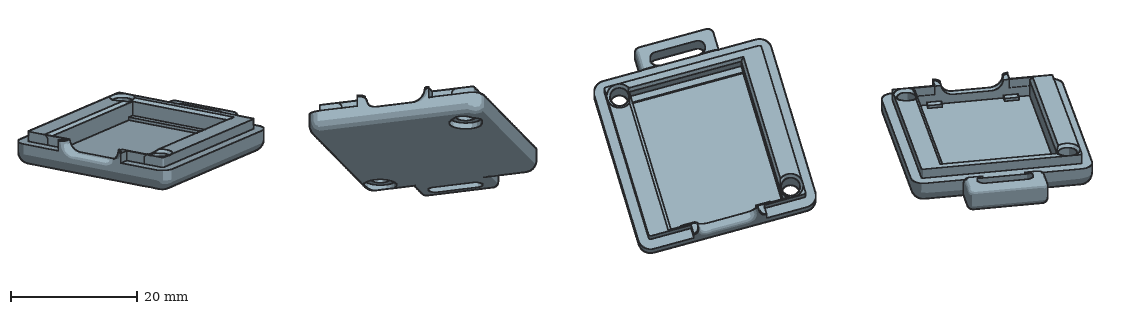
import cadquery as cq

body_side = 29.15
body_half = body_side / 2
body_radius = 2.0
base_height = 3.68

step_inset = 1.65
step_side = body_side - 2 * step_inset
step_height = 5.3
step_radius = 0.33

pocket_half_x = 9.22
pocket_back = 11.3
pocket_front = -12.75
floor_height = 2.0
ledge_height = 2.5
ledge_depth = 1.05
mouth_bevel = 0.5
tab_width = 2.32
tab_offset = 6.17

hole_offset = 10.95
hole_diameter = 3.0
countersink_diameter = 3.98
countersink_depth = 0.5
head_diameter = 5.2
head_depth = 1.0

notch_bottom = 3.5
notch_flat_half = 3.02
notch_radius = 2.0
notch_half = notch_flat_half + notch_radius
notch_round = 1.0
notch_block_half = notch_half + notch_round
notch_block_base = 2.32
lip_top = notch_bottom + notch_radius
lip_thickness = 0.1

total_length = 33.17
loop_width = 13.0
loop_height = 4.0
loop_round = 1.0
loop_end = total_length - body_half
loop_root = body_half - body_radius
slot_width = 2.25
slot_length = 9.0

above = 6.65


def box(x_range, y_range, z_range):
    """Axis-aligned box between pairs of limits."""
    sizes = [high - low for low, high in (x_range, y_range, z_range)]
    corner = (x_range[0], y_range[0], z_range[0])
    return cq.Workplane("XY").box(*sizes, centered=False).translate(corner)


def make_body():
    """Base with a rounded underside, carrying the raised step."""
    base = (
        cq.Workplane("XY")
        .rect(body_side, body_side)
        .extrude(base_height)
        .edges("|Z")
        .fillet(body_radius)
        .faces("<Z")
        .edges()
        .fillet(body_radius - 0.003)
    )
    step = (
        cq.Workplane("XY")
        .workplane(offset=floor_height)
        .rect(step_side, step_side)
        .extrude(step_height - floor_height)
        .edges("|Z")
        .fillet(step_radius)
    )
    return base.union(step)


def make_loop():
    """Strap loop with rounded outer edges and a through slot."""
    half = loop_width / 2
    loop = box((-half, half), (loop_root, loop_end), (0, loop_height))
    loop = loop.edges("|Z and >Y").fillet(loop_round)
    loop = loop.faces("<Z or >Z").edges("not <Y").fillet(loop_round - 0.003)
    slot = (
        cq.Workplane("XY")
        .center(0, body_half + slot_width / 2)
        .slot2D(slot_length, slot_width)
        .extrude(loop_height)
    )
    above_base = box((-half, half), (loop_root, body_half), (base_height, loop_height))
    return loop.cut(slot).cut(above_base)


def make_pocket():
    """Pocket volume with bevelled back and sides, less the ledge and tabs on its floor."""
    sides = (-pocket_half_x, pocket_half_x)
    pocket = box(sides, (pocket_front, pocket_back), (floor_height, step_height))
    width = 2 * pocket_half_x
    length = pocket_back - pocket_front
    bevel = (
        cq.Workplane("XY")
        .workplane(offset=step_height - mouth_bevel)
        .center(0, pocket_front + length / 2)
        .rect(width, length)
        .workplane(offset=mouth_bevel)
        .rect(width + 2 * mouth_bevel, length + 2 * mouth_bevel)
        .loft(ruled=True)
    )
    behind_front_wall = box((-body_half, body_half), (pocket_front, body_half), (0, above))
    pocket = pocket.union(bevel.intersect(behind_front_wall))
    ledge_z = (floor_height, ledge_height)
    pocket = pocket.cut(box(sides, (pocket_back - ledge_depth, pocket_back), ledge_z))
    for x in (-tab_offset, tab_offset):
        tab_x = (x - tab_width / 2, x + tab_width / 2)
        pocket = pocket.cut(box(tab_x, (pocket_front, pocket_front + ledge_depth), ledge_z))
    return pocket


def make_hole(x, y):
    """Through hole with a top countersink and a screw-head recess underneath."""
    bore = cq.Workplane("XY").circle(hole_diameter / 2).extrude(above)
    head = cq.Workplane("XY").circle(head_diameter / 2).extrude(head_depth)
    sink = (
        cq.Workplane("XY")
        .workplane(offset=step_height - countersink_depth)
        .circle(hole_diameter / 2)
        .workplane(offset=countersink_depth)
        .circle(countersink_diameter / 2)
        .loft()
    )
    return bore.union(head).union(sink).translate((x, y, 0))


def make_notch_block():
    """Front wall section with a U notch whose front edge is rounded over."""
    wall_y = (-body_half, pocket_front)
    wall = box((-body_half, body_half), wall_y, (0, above))
    notch = (
        cq.Workplane("XZ", origin=(0, pocket_front, 0))
        .moveTo(-notch_half, above)
        .lineTo(-notch_half, lip_top)
        .radiusArc((-notch_flat_half, notch_bottom), -notch_radius)
        .lineTo(notch_flat_half, notch_bottom)
        .radiusArc((notch_half, lip_top), -notch_radius)
        .lineTo(notch_half, above)
        .close()
        .extrude(pocket_front + body_half)
    )
    wall = wall.cut(notch)
    notch_front = cq.selectors.BoxSelector(
        (-notch_half - 0.33, -body_half - 0.33, notch_bottom - 0.33),
        (notch_half + 0.33, -body_half + 0.33, above - 0.33),
    )
    wall = wall.edges(notch_front).fillet(notch_round)
    block_x = (-notch_block_half, notch_block_half)
    return wall.intersect(box(block_x, wall_y, (notch_block_base, step_height)))


def make_lip(side):
    """Thin curved lip that carries the notch rounding above the wall top."""
    x = side * notch_block_half
    y = -body_half + notch_round
    ring = (
        cq.Workplane("XY")
        .workplane(offset=notch_bottom)
        .center(x, y)
        .circle(notch_round)
        .circle(notch_round - lip_thickness)
        .extrude(lip_top - notch_bottom)
    )
    x_range = sorted((x, x - side * notch_round))
    return ring.intersect(box(x_range, (-body_half, y), (step_height - lip_thickness, lip_top)))


result = make_body().union(make_loop()).cut(make_pocket())
for sign in (-1, 1):
    result = result.cut(make_hole(sign * hole_offset, -sign * hole_offset))

front_gap = box(
    (-notch_block_half, notch_block_half), (-body_half, pocket_front), (notch_block_base, above)
)
result = result.cut(front_gap).union(make_notch_block())
for sign in (-1, 1):
    result = result.union(make_lip(sign))

result = result.translate((0, body_half - total_length / 2, 0))